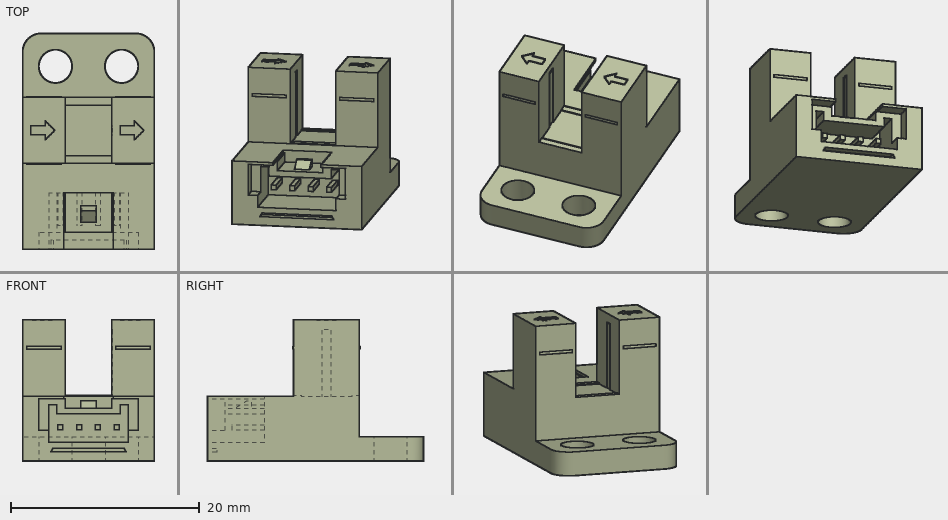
import cadquery as cq


width = 14.0
length = 22.9
height = 15.0

flange_thickness = 2.59
body_height = 6.9
arm_front = 9.11
arm_back = 16.1
arm_centre_y = (arm_front + arm_back) / 2

gap_width = 4.9
arm_width = (width - gap_width) / 2
arm_centre_x = (gap_width + arm_width) / 2
sill_length = 0.82
relief = 0.1

corner_radius = 2.0
hole_diameter = 3.5
hole_spacing = 7.0
hole_edge_distance = 3.5

slit_width = 0.96
slit_top = 14.0

ridge_length = 3.66
ridge_height = 0.3
ridge_bottom = 11.86

arrow_tail = -1.37
arrow_neck = 0.14
arrow_tip = 1.15
arrow_shaft_width = 0.95
arrow_head_width = 2.02

mouth_width = 10.5
mouth_bottom = 3.25
mouth_top = 6.6
mouth_depth = 1.8

socket_width = 8.45
socket_bottom = 1.97
socket_top = 5.0
socket_depth = 6.0
ear_inner_width = 6.73
ear_top = 5.98

roof_opening_width = 5.2
recess_width = 4.9
recess_floor = 5.6

wedge_width = 1.6
wedge_front = 2.86
wedge_crest = 4.1
wedge_back = 4.63
wedge_top = 6.37

pin_count = 4
pin_pitch = 2.0
pin_size = 0.53
pin_centre_z = 3.6
pin_tip = 2.56

groove_width = 7.97
groove_bottom = 0.96
groove_height = 0.41
groove_depth = 1.0
groove_end_slant = 0.23


def block(x_size, y_range, z_range, centre_x=0.0):
    """Box centred on centre_x, spanning the given Y and Z ranges."""
    y_start, y_end = y_range
    z_start, z_end = z_range
    return (
        cq.Workplane("XY")
        .box(x_size, y_end - y_start, z_end - z_start, centered=(True, False, False))
        .translate((centre_x, y_start, z_start))
    )


def side_extrusion(points, x_size):
    """Extrude a (Y, Z) outline symmetrically about X = 0."""
    return cq.Workplane("YZ").polyline(points).close().extrude(x_size / 2, both=True)


def make_housing():
    """Stepped side outline with the sensing gap, its two sills and the drilled, rounded flange."""
    outline = [
        (0, 0),
        (length, 0),
        (length, flange_thickness),
        (arm_back, flange_thickness),
        (arm_back, height),
        (arm_front, height),
        (arm_front, body_height),
        (0, body_height),
    ]
    housing = side_extrusion(outline, width)
    housing = housing.edges("|Z and >Y").fillet(corner_radius)
    housing = housing.cut(block(gap_width, (arm_front, arm_back), (body_height, height)))
    for sill_start in (arm_front, arm_back - sill_length):
        sill_range = (sill_start, sill_start + sill_length)
        housing = housing.union(block(gap_width, sill_range, (0, body_height + relief)))
    holes = (
        cq.Workplane("XY")
        .center(0, length - hole_edge_distance)
        .rarray(hole_spacing, 0.23, 2, 1)
        .circle(hole_diameter / 2)
        .extrude(flange_thickness)
    )
    return housing.cut(holes)


def make_slits():
    """Shallow optical slits, sunk into both inner arm faces."""
    slit_range = (arm_centre_y - slit_width / 2, arm_centre_y + slit_width / 2)
    return block(gap_width + 2 * relief, slit_range, (body_height, slit_top))


def make_ridges(side):
    """Rounded marker ridges across the front and back faces of one arm."""
    middle_z = ridge_bottom + ridge_height / 2
    left_x = side * arm_centre_x - ridge_length / 2
    profile = (
        cq.Workplane("YZ", origin=(left_x, 0, 0))
        .moveTo(arm_front, ridge_bottom)
        .lineTo(arm_back, ridge_bottom)
        .threePointArc((arm_back + relief, middle_z), (arm_back, ridge_bottom + ridge_height))
        .lineTo(arm_front, ridge_bottom + ridge_height)
        .threePointArc((arm_front - relief, middle_z), (arm_front, ridge_bottom))
        .close()
    )
    return profile.extrude(ridge_length)


def make_arrow(side):
    """Arrow engraving, pointing to +X, in the top of one arm."""
    shaft = arrow_shaft_width / 2
    head = arrow_head_width / 2
    outline = [
        (arrow_tail, -shaft),
        (arrow_neck, -shaft),
        (arrow_neck, -head),
        (arrow_tip, 0),
        (arrow_neck, head),
        (arrow_neck, shaft),
        (arrow_tail, shaft),
    ]
    arrow = cq.Workplane("XY").polyline(outline).close().extrude(relief)
    return arrow.translate((side * arm_centre_x, arm_centre_y, height - relief))


def make_connector_cavity():
    """Mouth, socket with its side channels, and the latch recess open to the top."""
    cavity = block(mouth_width, (0, mouth_depth), (mouth_bottom, mouth_top))
    cavity = cavity.union(block(socket_width, (0, socket_depth), (socket_bottom, socket_top)))
    ear_width = (socket_width - ear_inner_width) / 2
    ear_centre_x = (socket_width - ear_width) / 2
    for side in (-1, 1):
        ear = block(ear_width, (0, socket_depth), (socket_bottom, ear_top), side * ear_centre_x)
        cavity = cavity.union(ear)
    cavity = cavity.union(block(recess_width, (0, socket_depth), (recess_floor, body_height)))
    return cavity.union(block(roof_opening_width, (0, socket_depth), (mouth_top, body_height)))


def make_latch_wedge():
    """Ramp that rises from the front to a short flat crest."""
    outline = [
        (wedge_front, recess_floor),
        (wedge_crest, wedge_top),
        (wedge_back, wedge_top),
        (wedge_back, recess_floor),
    ]
    return side_extrusion(outline, wedge_width)


def make_pins():
    """Row of square contacts reaching forward from the back wall of the socket."""
    return (
        cq.Workplane("XZ", origin=(0, socket_depth, pin_centre_z))
        .rarray(pin_pitch, 0.23, pin_count, 1)
        .rect(pin_size, pin_size)
        .extrude(socket_depth - pin_tip)
    )


def make_groove():
    """Front groove with a trapezoidal mouth, wider at the bottom."""
    bottom_x = groove_width / 2
    top_x = bottom_x - groove_end_slant
    groove_top = groove_bottom + groove_height
    outline = [
        (-bottom_x, groove_bottom),
        (bottom_x, groove_bottom),
        (top_x, groove_top),
        (-top_x, groove_top),
    ]
    return cq.Workplane("XZ").polyline(outline).close().extrude(-groove_depth)


result = make_housing().cut(make_slits())
for arm_side in (-1, 1):
    result = result.union(make_ridges(arm_side))
    result = result.cut(make_arrow(arm_side))
result = result.cut(make_connector_cavity()).cut(make_groove())
result = result.union(make_latch_wedge()).union(make_pins())